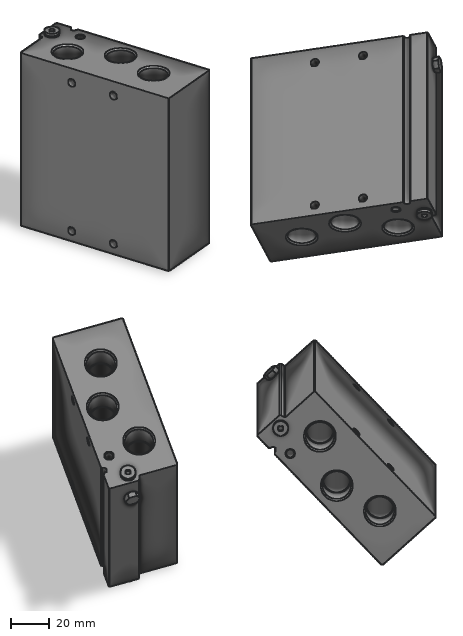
import cadquery as cq
import math

BLOCK_WIDTH = 95.8
BLOCK_DEPTH = 38.5
BLOCK_HEIGHT = 101.6
EDGE_CHAMFER = 0.5

LIP_STEP = 2.9
LIP_CORNER_Y = 22.4
LIP_CORNER_CHAMFER = 0.6
LIP_ROOT_Y = 21.3
LIP_ROOT_CHAMFER = 0.4

GROOVE_X = 11.4
GROOVE_DEPTH = 2.5
GROOVE_RADIUS = 1.6
GROOVE_CHAMFER = 0.6

PORT_CENTRES = [(22.7, 14.7), (48.1, 26.4), (73.5, 19.3)]
PORT_BORE_DIAMETER = 14.2
PORT_SEAT_DIAMETER = 14.9
PORT_SEAT_DEPTH = 12.8
PORT_MOUTH_DIAMETER = 16.7

PILOT_CENTRE = (19.0, 32.4)
PILOT_DIAMETER = 4.2
PILOT_MOUTH_DIAMETER = 5.0

MOUNT_DIAMETER = 4.5
MOUNT_X = (35.0, 61.1)
MOUNT_BOTTOM_INSET = 6.1
MOUNT_TOP_INSET = 8.4

PLUG_X = 5.2
PLUG_Y = 26.4
OVERALL_HEIGHT = 106.5
PLUG_HEIGHT = (OVERALL_HEIGHT - BLOCK_HEIGHT) / 2
PLUG_NECK_HEIGHT = 0.9
PLUG_NECK_DIAMETER = 7.8
PLUG_HEAD_DIAMETER = 8.0
PLUG_SOCKET_DIAMETER = 2.9
PLUG_SOCKET_DEPTH = 1.6

SCREW_Y = PLUG_Y
SCREW_TOP_INSET = 13.0
SCREW_Z = BLOCK_HEIGHT - SCREW_TOP_INSET
SCREW_HEIGHT = 3.3
SCREW_ACROSS_FLATS = 7.2
SCREW_SEAT_DIAMETER = 7.2
SCREW_SEAT_TAPER = 0.7
SCREW_CROWN_DIAMETER = 8.0
SCREW_CROWN_TAPER = 0.2


def block_outline():
    groove_centre_y = BLOCK_DEPTH - GROOVE_DEPTH + GROOVE_RADIUS
    groove_lip_y = BLOCK_DEPTH - GROOVE_CHAMFER
    groove_mouth = GROOVE_RADIUS + GROOVE_CHAMFER
    return (
        cq.Workplane("XY")
        .moveTo(LIP_STEP + EDGE_CHAMFER, 0)
        .lineTo(BLOCK_WIDTH - EDGE_CHAMFER, 0)
        .lineTo(BLOCK_WIDTH, EDGE_CHAMFER)
        .lineTo(BLOCK_WIDTH, BLOCK_DEPTH - EDGE_CHAMFER)
        .lineTo(BLOCK_WIDTH - EDGE_CHAMFER, BLOCK_DEPTH)
        .lineTo(GROOVE_X + groove_mouth, BLOCK_DEPTH)
        .lineTo(GROOVE_X + GROOVE_RADIUS, groove_lip_y)
        .lineTo(GROOVE_X + GROOVE_RADIUS, groove_centre_y)
        .threePointArc((GROOVE_X, BLOCK_DEPTH - GROOVE_DEPTH), (GROOVE_X - GROOVE_RADIUS, groove_centre_y))
        .lineTo(GROOVE_X - GROOVE_RADIUS, groove_lip_y)
        .lineTo(GROOVE_X - groove_mouth, BLOCK_DEPTH)
        .lineTo(EDGE_CHAMFER, BLOCK_DEPTH)
        .lineTo(0, BLOCK_DEPTH - EDGE_CHAMFER)
        .lineTo(0, LIP_CORNER_Y)
        .lineTo(LIP_CORNER_CHAMFER, LIP_CORNER_Y - LIP_CORNER_CHAMFER)
        .lineTo(LIP_STEP - LIP_ROOT_CHAMFER, LIP_ROOT_Y)
        .lineTo(LIP_STEP, LIP_ROOT_Y - LIP_ROOT_CHAMFER)
        .lineTo(LIP_STEP, EDGE_CHAMFER)
        .close()
    )


def port_cutter(centre):
    """Through bore with a wider seat and a 45-degree mouth at both ends."""
    bore = PORT_BORE_DIAMETER / 2
    seat = PORT_SEAT_DIAMETER / 2
    mouth = PORT_MOUTH_DIAMETER / 2
    chamfer = mouth - seat
    return (
        cq.Workplane("XZ")
        .polyline([
            (0, 0),
            (mouth, 0),
            (seat, chamfer),
            (seat, PORT_SEAT_DEPTH),
            (bore, PORT_SEAT_DEPTH),
            (bore, BLOCK_HEIGHT - PORT_SEAT_DEPTH),
            (seat, BLOCK_HEIGHT - PORT_SEAT_DEPTH),
            (seat, BLOCK_HEIGHT - chamfer),
            (mouth, BLOCK_HEIGHT),
            (0, BLOCK_HEIGHT),
        ])
        .close()
        .revolve(360, (0, 0, 0), (0, 1, 0))
        .translate((*centre, 0))
    )


def pilot_cutter():
    """Through hole with a 45-degree mouth at both ends."""
    bore = PILOT_DIAMETER / 2
    mouth = PILOT_MOUTH_DIAMETER / 2
    chamfer = mouth - bore
    return (
        cq.Workplane("XZ")
        .polyline([
            (0, 0),
            (mouth, 0),
            (bore, chamfer),
            (bore, BLOCK_HEIGHT - chamfer),
            (mouth, BLOCK_HEIGHT),
            (0, BLOCK_HEIGHT),
        ])
        .close()
        .revolve(360, (0, 0, 0), (0, 1, 0))
        .translate((*PILOT_CENTRE, 0))
    )


def mount_cutters():
    points = [(x, z) for x in MOUNT_X for z in (MOUNT_BOTTOM_INSET, BLOCK_HEIGHT - MOUNT_TOP_INSET)]
    return cq.Workplane("XZ").pushPoints(points).circle(MOUNT_DIAMETER / 2).extrude(-BLOCK_DEPTH)


def make_block():
    body = block_outline().extrude(BLOCK_HEIGHT)
    for centre in PORT_CENTRES:
        body = body.cut(port_cutter(centre))
    return body.cut(pilot_cutter()).cut(mount_cutters())


def make_plug(face_z, outward):
    """Round plug seated on a face at face_z; outward is +1 for the top face and -1 for the bottom face."""
    plug = (
        cq.Workplane("XY")
        .circle(PLUG_NECK_DIAMETER / 2)
        .extrude(PLUG_NECK_HEIGHT)
        .faces(">Z")
        .workplane()
        .circle(PLUG_HEAD_DIAMETER / 2)
        .extrude(PLUG_HEIGHT - PLUG_NECK_HEIGHT)
        .faces(">Z")
        .workplane()
        .hole(PLUG_SOCKET_DIAMETER, PLUG_SOCKET_DEPTH)
    )
    if outward < 0:
        plug = plug.mirror("XY")
    return plug.translate((PLUG_X, PLUG_Y, face_z))


def make_screw():
    """Hexagonal head with its corners turned down to a cone at both ends."""
    across_corners = SCREW_ACROSS_FLATS / math.cos(math.pi / 6)
    corner = across_corners / 2
    head = cq.Workplane("YZ").polygon(6, across_corners).extrude(-SCREW_HEIGHT)
    envelope = (
        cq.Workplane("XY")
        .polyline([
            (0, 0),
            (0, SCREW_SEAT_DIAMETER / 2),
            (-SCREW_SEAT_TAPER, corner),
            (SCREW_CROWN_TAPER - SCREW_HEIGHT, corner),
            (-SCREW_HEIGHT, SCREW_CROWN_DIAMETER / 2),
            (-SCREW_HEIGHT, 0),
        ])
        .close()
        .revolve(360, (0, 0, 0), (1, 0, 0))
    )
    return head.intersect(envelope).translate((0, SCREW_Y, SCREW_Z))


block = make_block()
plugs = [make_plug(face_z, outward) for face_z, outward in ((BLOCK_HEIGHT, 1), (0, -1))]
screw = make_screw()

result = cq.Compound.makeCompound([block.val(), *[plug.val() for plug in plugs], screw.val()])